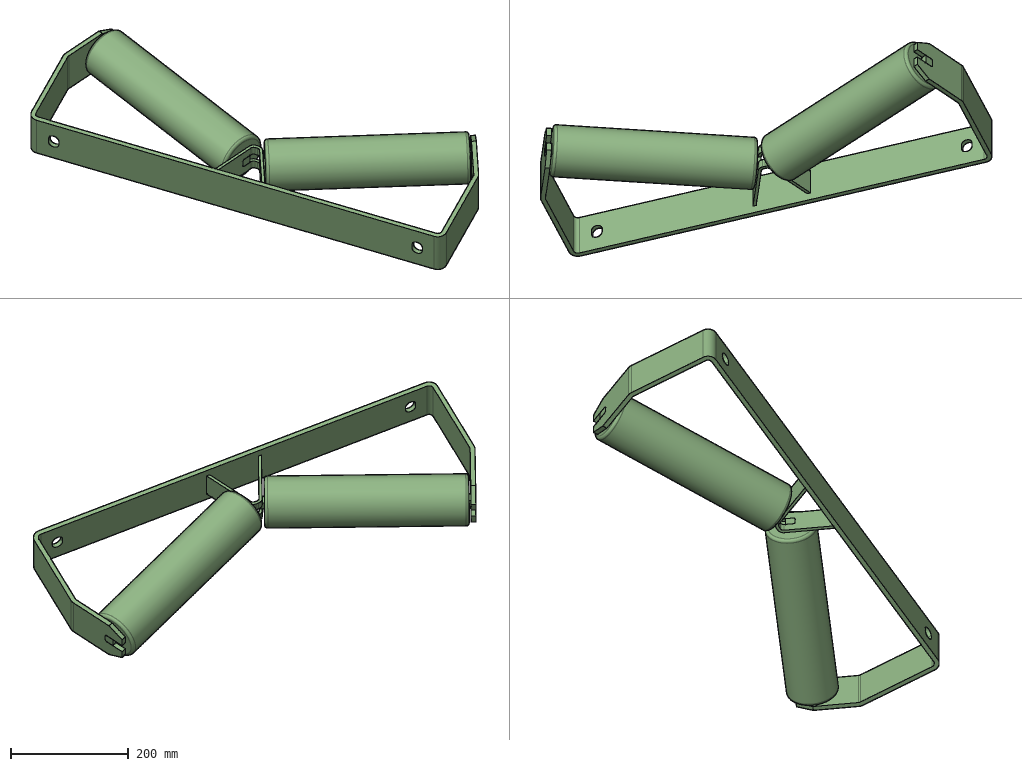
import cadquery as cq
import math

frame_length = 760.0
frame_width = 80.0
frame_thickness = 8.0
frame_inner_bend = 7.5
arm_bend_height = 162.0
arm_length = 110.0
tip_chamfer_along = 29.0
tip_chamfer_across = 15.0

mount_slot_spacing = 666.0
mount_slot_height = 26.0
mount_slot_width = 19.0

bracket_width = 50.0
bracket_thickness = 5.0
bracket_inner_bend = 6.0
bracket_height = 99.0
bracket_base_half = 52.0

tilt = math.radians(25)
roller_diameter = 89.0
roller_length = 347.0
roller_edge_radius = 5.0
roller_center_x = 178.0
roller_center_y = 157.0
shaft_width = 17.0
shaft_corner_radius = 4.0

frame_half = frame_length / 2
sides = (-1, 1)


def roller_axis(side):
    """Unit vector along a roller, from the bracket towards the frame arm."""
    return cq.Vector(side * math.cos(tilt), math.sin(tilt), 0)


def arm_down(side):
    """Unit vector along a frame arm, from its tip towards its bend."""
    return cq.Vector(side * math.sin(tilt), -math.cos(tilt), 0)


def roller_center(side):
    return cq.Vector(side * roller_center_x, roller_center_y, 0)


def arm_bend(side):
    """Sharp outer corner where the upright meets the leaning arm."""
    return cq.Vector(side * frame_half, arm_bend_height, 0)


def tilted_plane(side, origin):
    """Workplane square to a roller: local x runs down the arm, local y across the strip."""
    return cq.Workplane(cq.Plane(origin=origin, xDir=arm_down(side), normal=roller_axis(side)))


def mirrored(left_points):
    """Complete an outline run from its left half."""
    return left_points + [(-x, y) for x, y in reversed(left_points)]


def bent_strip(outer, inner, width, thickness, inner_bend):
    """Strip between two runs of points, with every corner except the ends rounded."""
    strip = cq.Workplane("XY").polyline(outer + inner[::-1]).close().extrude(width / 2, both=True)
    for run, radius in ((outer, inner_bend + thickness), (inner, inner_bend)):
        for x, y in run[1:-1]:
            strip = strip.edges(cq.NearestToPointSelector((x, y, 0))).fillet(radius)
    return strip


def make_frame():
    bend = arm_bend(-1)
    outer_tip = bend - arm_down(-1) * arm_length
    inner_tip = outer_tip - roller_axis(-1) * frame_thickness
    inner_x = -frame_half + frame_thickness
    inner_bend_y = arm_bend_height - frame_thickness * math.tan(tilt / 2)
    outer = mirrored([(outer_tip.x, outer_tip.y), (bend.x, bend.y), (-frame_half, 0)])
    inner = mirrored([(inner_tip.x, inner_tip.y), (inner_x, inner_bend_y), (inner_x, frame_thickness)])
    frame = bent_strip(outer, inner, frame_width, frame_thickness, frame_inner_bend)
    for side in sides:
        frame = frame.cut(tip_corners(side)).cut(shaft_slot(side))
    return frame.cut(mount_slots())


def tip_corners(side):
    """The two corner wedges removed from an arm tip."""
    tip = arm_bend(side) - arm_down(side) * arm_length
    edge = frame_width / 2
    wedges = cq.Workplane("XY")
    for end in (-1, 1):
        corner = [(0, end * edge), (tip_chamfer_along, end * edge), (0, end * (edge - tip_chamfer_across))]
        wedges = wedges.add(tilted_plane(side, tip).polyline(corner).close().extrude(-frame_thickness))
    return wedges.combine()


def shaft_slot(side):
    """Slot that seats a shaft in the arm or the bracket leg, open away from the frame's back."""
    reach = roller_length / 2 + 2 * frame_thickness
    mouth = (
        tilted_plane(side, roller_center(side))
        .center(-arm_length / 2, 0)
        .rect(arm_length, shaft_width)
        .extrude(reach, both=True)
    )
    return shaft_bar(side, reach, reach).union(mouth)


def mount_slots():
    """Two slots through the back of the frame, long across the strip."""
    return (
        cq.Workplane("XZ")
        .pushPoints([(side * mount_slot_spacing / 2, 0) for side in sides])
        .slot2D(mount_slot_height, mount_slot_width, 90)
        .extrude(-frame_thickness)
    )


def bracket_leg_x(height):
    """Distance of a leg's outer face from the middle plane at a given height."""
    return bracket_base_half - (height - frame_thickness) * math.tan(tilt)


def make_bracket():
    leg_width = bracket_thickness / math.cos(tilt)
    inner_height = bracket_height - bracket_thickness
    outer = mirrored([
        (-bracket_base_half, frame_thickness),
        (-bracket_leg_x(bracket_height), bracket_height),
    ])
    inner = mirrored([
        (-bracket_base_half + leg_width, frame_thickness),
        (-bracket_leg_x(inner_height) + leg_width, inner_height),
    ])
    bracket = bent_strip(outer, inner, bracket_width, bracket_thickness, bracket_inner_bend)
    for side in sides:
        bracket = bracket.cut(shaft_slot(side))
    return bracket


def shaft_bar(side, outer_reach, inner_reach):
    """Square bar along the roller axis with its two lower edges rounded."""
    start = roller_center(side) - roller_axis(side) * inner_reach
    bar = tilted_plane(side, start).rect(shaft_width, shaft_width).extrude(outer_reach + inner_reach)
    for across in (-1, 1):
        edge_point = roller_center(side) + arm_down(side) * (shaft_width / 2)
        edge_point += cq.Vector(0, 0, across * shaft_width / 2)
        bar = bar.edges(cq.NearestToPointSelector(edge_point.toTuple())).fillet(shaft_corner_radius)
    return bar


def make_roller(side):
    """Roller with its shaft ends flush with the far faces of the arm and the bracket leg."""
    center = roller_center(side)
    axis = roller_axis(side)
    bracket_foot = cq.Vector(side * bracket_base_half, frame_thickness, 0)
    outer_reach = (arm_bend(side) - center).dot(axis)
    inner_reach = (center - bracket_foot).dot(axis) + bracket_thickness
    barrel = (
        tilted_plane(side, center - axis * (roller_length / 2))
        .circle(roller_diameter / 2)
        .extrude(roller_length)
        .edges()
        .fillet(roller_edge_radius)
    )
    return barrel.union(shaft_bar(side, outer_reach, inner_reach))


frame = make_frame()
bracket = make_bracket()
rollers = [make_roller(side) for side in sides]

bodies = [frame, bracket, *rollers]
result = cq.Compound.makeCompound([body.solids().val() for body in bodies])